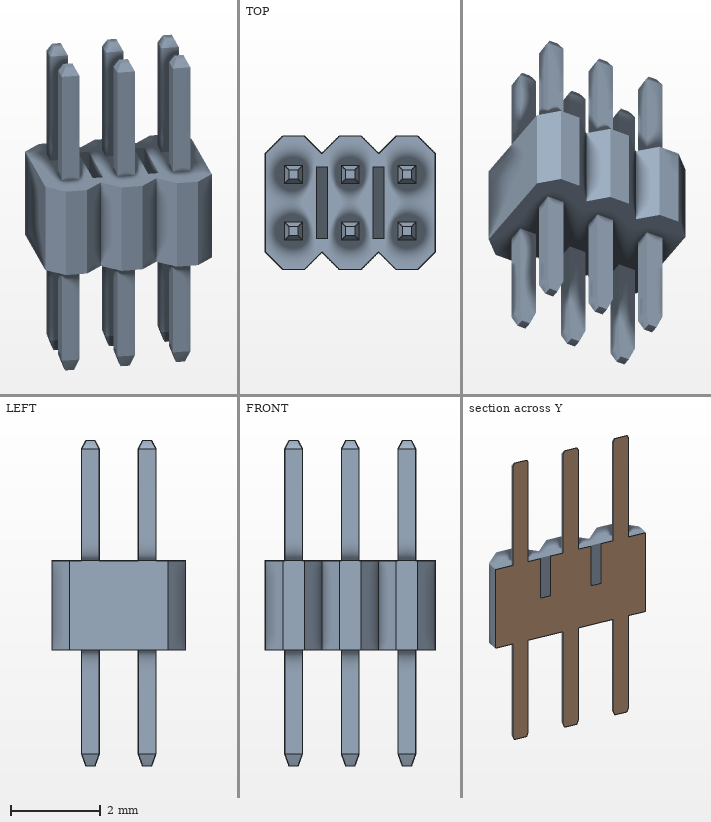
import cadquery as cq

pitch = 1.27
columns = 3
rows = 2

body_depth = 3.0
body_height = 2.01
corner_cut = 0.395

pin_width = 0.4
pin_tip_width = 0.205
pin_above_body = 2.695
pin_below_body = 2.6
top_taper = 0.19
bottom_taper = 0.28

slot_width = 0.24
slot_length = 1.6
slot_depth = body_height / 2


def centred(count):
    """Positions of `count` items, one pitch apart, centred on zero."""
    return [(i - (count - 1) / 2) * pitch for i in range(count)]


def body_cell(x):
    """One octagonal body section around a pin column."""
    return (
        cq.Workplane("XY")
        .center(x, 0)
        .rect(pitch, body_depth)
        .extrude(body_height)
        .edges("|Z")
        .chamfer(corner_cut)
    )


def pin_tip(x, y, z, height):
    """Tapered tip starting at z; a negative height points it down."""
    return (
        cq.Workplane("XY", origin=(x, y, z))
        .rect(pin_width, pin_width)
        .workplane(offset=height)
        .rect(pin_tip_width, pin_tip_width)
        .loft()
    )


def pin(x, y):
    """A straight square pin with both tips."""
    shaft_bottom = bottom_taper - pin_below_body
    shaft_top = body_height + pin_above_body - top_taper
    shaft = (
        cq.Workplane("XY", origin=(x, y, shaft_bottom))
        .rect(pin_width, pin_width)
        .extrude(shaft_top - shaft_bottom)
    )
    upper_tip = pin_tip(x, y, shaft_top, top_taper)
    lower_tip = pin_tip(x, y, shaft_bottom, -bottom_taper)
    return shaft.union(upper_tip).union(lower_tip)


result = cq.Workplane("XY")
for column_x in centred(columns):
    result = result.union(body_cell(column_x))

slots = (
    cq.Workplane("XY", origin=(0, 0, body_height))
    .pushPoints([(joint_x, 0) for joint_x in centred(columns - 1)])
    .rect(slot_width, slot_length)
    .extrude(-slot_depth)
)
result = result.cut(slots)

for column_x in centred(columns):
    for row_y in centred(rows):
        result = result.union(pin(column_x, row_y))

result = result.clean()